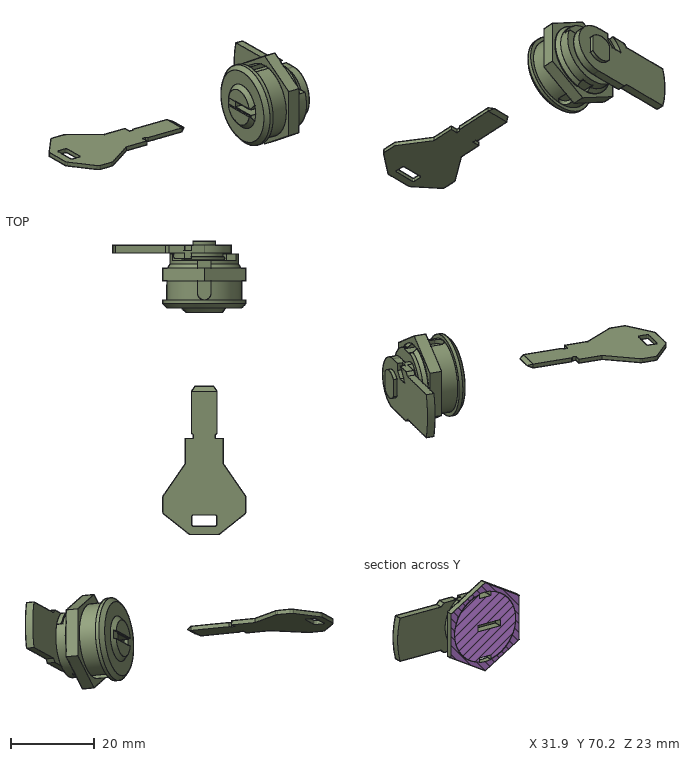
import cadquery as cq
import math


body_radius = 9.0
bezel_diameter = 19.9
bezel_radius = bezel_diameter / 2
bezel_edge_thickness = 0.9
bezel_chamfer = 1.05
boss_base_radius = 5.5
boss_height = 1.05
ring_outer_radius = 8.2
ring_inner_radius = 6.2
ring_front_y = 9.5
ring_back_y = 11.0
cone_back_y = 8.55
cone_front_y = 7.4
bezel_face_y = -(bezel_edge_thickness + bezel_chamfer)
boss_face_y = bezel_face_y - boss_height

hub_radius = 4.5
hub_back_y = 11.15
lip_height = 0.4
lip_front_y = 9.55
lip_back_y = 10.3
lip_peak_y = (lip_front_y + lip_back_y) / 2
stub_radius = 3.5
stub_width = 5.4
stub_back_y = 14.0

side_slot_width = 3.2
side_slot_floor = 7.8

face_groove_width = 1.95
face_groove_depth = 0.5
keyhole_left = -2.0
keyhole_right = 4.35
keyhole_height = 1.5
keyhole_depth = 10.5
mark_apex_x = 3.9
mark_half_angle = 60
mark_depth = 1.05

nut_across_flats = bezel_diameter
nut_front_y = 4.55
nut_thickness = 3.0

cam_thickness = 1.95
cam_head_radius = 6.45
cam_arm_half_width = 5.6
cam_tip_radius = 21.95
shoulder_x = -8.4
tab_radius = 8.0
tab_edge = 3.1
tab_inner_corner = 4.6
tab_offset = 1.25
tab_corner_radius = 0.85

lock_and_key_length = 70.15
key_thickness = 1.05
key_end_y = stub_back_y - lock_and_key_length
bow_half_width = bezel_radius
bow_end_half_width = 3.5
bow_back_length = 5.1
bow_side_length = 4.0
bow_taper_length = 7.85
shank_half_width = 4.55
shank_length = 6.0
neck_half_width = 2.7
neck_length = 0.85
blade_half_width = 3.1
blade_length = 11.2
tip_half_width = 2.25
tip_length = 1.25
bow_corner_radius = 1.0
ring_slot_width = 5.9
ring_slot_height = 2.7
ring_slot_offset = 2.0
ring_slot_corner_radius = 0.35


def section_plane(y):
    """Workplane across the lock axis: local x is X, local y is Z, and the normal is -Y."""
    return cq.Workplane("XZ", origin=(0, y, 0))


def prism(sketch, length):
    """Extrude a sketch drawn on section_plane toward +Y."""
    return sketch.extrude(-length)


def cross_block(x_min, x_max, y_min, y_max, z_min, z_max):
    """Axis-aligned block given by its limits."""
    size = (x_max - x_min, y_max - y_min, z_max - z_min)
    return cq.Workplane("XY").box(*size, centered=False).translate((x_min, y_min, z_min))


def turned_body():
    """Bezel, body, back ring and hub as one turned shape, with a chamber around the hub."""
    outside = [
        (boss_base_radius - boss_height, boss_face_y),
        (boss_base_radius, bezel_face_y),
        (bezel_radius - bezel_chamfer, bezel_face_y),
        (bezel_radius, -bezel_edge_thickness),
        (bezel_radius, 0),
        (body_radius, 0),
        (body_radius, cone_front_y),
        (ring_outer_radius, cone_back_y),
        (ring_outer_radius, ring_back_y),
        (ring_inner_radius, ring_back_y),
        (ring_inner_radius, ring_front_y),
        (hub_radius, ring_front_y),
        (hub_radius, lip_front_y),
    ]
    profile = (
        cq.Workplane("XY")
        .moveTo(0, boss_face_y)
        .polyline(outside, includeCurrent=True)
        .threePointArc((hub_radius + lip_height, lip_peak_y), (hub_radius, lip_back_y))
        .lineTo(hub_radius, hub_back_y)
        .lineTo(0, hub_back_y)
        .close()
    )
    return profile.revolve(360, (0, 0), (0, 1))


def ring_opening():
    """Part of the back ring that is cut away; the flat edges it leaves stop the cam tab."""
    reach = ring_outer_radius
    opening = cross_block(-reach, reach, ring_front_y, ring_back_y, tab_edge, reach)
    hub_clearance = section_plane(ring_front_y).circle(ring_inner_radius)
    return opening.cut(prism(hub_clearance, ring_back_y - ring_front_y))


def double_d(y, length):
    """Round stub with two flats facing -X and +X."""
    stub = prism(section_plane(y).circle(stub_radius), length)
    return stub.intersect(prism(section_plane(y).rect(stub_width, 2 * stub_radius), length))


def side_slot(side):
    """Lengthwise flat-bottomed slot with a round front end; side is +1 (top) or -1 (bottom)."""
    radius = side_slot_width / 2
    outline = (
        cq.Workplane("XY", origin=(0, 0, side * side_slot_floor))
        .moveTo(-radius, ring_front_y)
        .lineTo(-radius, radius)
        .threePointArc((0, 0), (radius, radius))
        .lineTo(radius, ring_front_y)
        .close()
    )
    return outline.extrude(side * (body_radius - side_slot_floor))


def key_entry():
    """Shallow groove across the plug face with the keyhole in its floor."""
    half_width = face_groove_width / 2
    floor_y = boss_face_y + face_groove_depth
    groove = cross_block(
        -boss_base_radius, boss_base_radius, boss_face_y, floor_y, -half_width, half_width
    )
    half_height = keyhole_height / 2
    keyhole = cross_block(
        keyhole_left, keyhole_right, floor_y, floor_y + keyhole_depth, -half_height, half_height
    )
    return groove.union(keyhole)


def index_mark():
    """V-shaped recess at the +X edge of the plug face."""
    length = boss_height + mark_depth
    run = boss_base_radius - mark_apex_x
    rise = run * math.tan(math.radians(mark_half_angle))
    points = [(mark_apex_x, 0), (boss_base_radius, rise), (boss_base_radius, -rise)]
    wedge = prism(section_plane(boss_face_y).polyline(points).close(), length)
    return wedge.intersect(prism(section_plane(boss_face_y).circle(boss_base_radius), length))


def make_housing():
    housing = turned_body().cut(ring_opening())
    for side in (1, -1):
        housing = housing.cut(side_slot(side))
    housing = housing.union(double_d(hub_back_y, stub_back_y - hub_back_y))
    return housing.cut(key_entry()).cut(index_mark())


def make_nut():
    """Hex nut with corners up and down."""
    across_corners = nut_across_flats / math.cos(math.radians(30))
    hexagon = section_plane(nut_front_y).transformed(rotate=(0, 0, 90)).polygon(6, across_corners)
    return prism(hexagon.circle(body_radius), nut_thickness)


def cam_outline(y):
    """Round head on the lock axis and an arm toward -X with a curved tip."""
    step = cam_head_radius - cam_arm_half_width
    tip_x = -math.sqrt(cam_tip_radius**2 - cam_arm_half_width**2)
    return (
        section_plane(y)
        .moveTo(0, cam_head_radius)
        .lineTo(shoulder_x, cam_head_radius)
        .lineTo(shoulder_x - step, cam_arm_half_width)
        .lineTo(tip_x, cam_arm_half_width)
        .threePointArc((-cam_tip_radius, 0), (tip_x, -cam_arm_half_width))
        .lineTo(shoulder_x - step, -cam_arm_half_width)
        .lineTo(shoulder_x, -cam_head_radius)
        .lineTo(0, -cam_head_radius)
        .threePointArc((cam_head_radius, 0), (0, cam_head_radius))
        .close()
    )


def tab_prism(y, length):
    """Plan shape of the pressed-out stop tab at the upper left of the cam head."""
    points = [
        (-tab_edge, cam_head_radius),
        (-tab_edge, tab_inner_corner),
        (-tab_inner_corner, tab_edge),
        (-tab_radius, tab_edge),
        (-tab_radius, cam_head_radius),
    ]
    plan = prism(section_plane(y).polyline(points).close(), length)
    return plan.intersect(prism(section_plane(y).circle(tab_radius), length))


def make_cam():
    front_y = hub_back_y
    back_y = front_y + cam_thickness
    cam = prism(cam_outline(front_y), cam_thickness)
    cam = cam.cut(tab_prism(back_y - tab_offset, tab_offset))
    tab = tab_prism(front_y - tab_offset, tab_offset)
    tab = tab.faces("<Z").edges("<Y").fillet(tab_corner_radius)
    cam = cam.union(tab)
    return cam.cut(double_d(front_y, cam_thickness))


def key_half_outline():
    """Corners of the +X half of the key, from the bow end to the tip, as (x, y)."""
    bow_y = key_end_y + bow_back_length
    taper_y = bow_y + bow_side_length
    shank_y = taper_y + bow_taper_length
    shoulder_y = shank_y + shank_length
    neck_y = shoulder_y + neck_length
    relief_y = neck_y + blade_half_width - neck_half_width
    blade_y = relief_y + blade_length - tip_length
    tip_y = relief_y + blade_length
    return [
        (bow_end_half_width, key_end_y),
        (bow_half_width, bow_y),
        (bow_half_width, taper_y),
        (shank_half_width, shank_y),
        (shank_half_width, shoulder_y),
        (neck_half_width, shoulder_y),
        (neck_half_width, neck_y),
        (blade_half_width, relief_y),
        (blade_half_width, blade_y),
        (tip_half_width, tip_y),
    ]


def make_key():
    right = key_half_outline()
    left = [(-x, y) for x, y in reversed(right)]
    half = key_thickness / 2
    key = cq.Workplane("XY").polyline(right + left).close().extrude(half, both=True)

    margin = bow_corner_radius
    widest_y = key_end_y + bow_back_length + bow_side_length
    bow_corners = cq.selectors.BoxSelector(
        (-bow_half_width - margin, key_end_y - margin, -half),
        (bow_half_width + margin, widest_y + margin, half),
    )
    key = key.edges("|Z").edges(bow_corners).fillet(bow_corner_radius)

    slot_y = key_end_y + ring_slot_offset + ring_slot_height / 2
    slot = cq.Workplane("XY").box(ring_slot_width, ring_slot_height, key_thickness)
    slot = slot.edges("|Z").fillet(ring_slot_corner_radius).translate((0, slot_y, 0))

    tip_y = right[-1][1]
    side = [
        (key_end_y, -half),
        (tip_y - tip_length, -half),
        (tip_y, 0),
        (tip_y - tip_length, half),
        (key_end_y, half),
    ]
    taper = cq.Workplane("YZ").polyline(side).close().extrude(bow_half_width, both=True)
    return key.cut(slot).intersect(taper)


housing = make_housing()
nut = make_nut()
cam = make_cam()
key = make_key()

result = cq.Compound.makeCompound([housing.val(), nut.val(), cam.val(), key.val()])